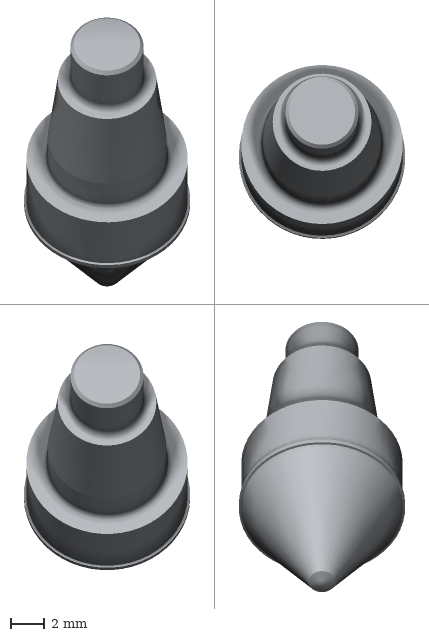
import cadquery as cq
import math

TOTAL_HEIGHT = 23.0
TIP_HEIGHT = 0.3
FLANGE_THICKNESS = 0.3
FLANGE_TOP_Z = 7.8
COLLAR_TOP_Z = 11.8
TAPER_BREAK_Z = 13.92
SHOULDER_Z = 19.5

FLANGE_RADIUS = 10.0 / 2
COLLAR_RADIUS = 9.7 / 2
TIP_RADIUS = 0.8
SHANK_BASE_RADIUS = 3.63
TAPER_BREAK_RADIUS = 3.56
SHOULDER_RADIUS = 2.97
SPIGOT_RADIUS = 4.4 / 2

COLLAR_FILLET = 0.3
SPIGOT_FILLET = 0.48
SPIGOT_CHAMFER = 0.2

ARC_MID = 1 - math.sqrt(0.5)


def quarter_fillet(profile, wall_radius, floor_z, fillet):
    """Continue an inward-running floor up into a wall with a concave quarter arc."""
    return profile.threePointArc(
        (wall_radius + fillet * ARC_MID, floor_z + fillet * ARC_MID),
        (wall_radius, floor_z + fillet),
    )


def make_cutting_head():
    """Conical head with its thin flange and blunt point."""
    return (
        cq.Workplane("XZ")
        .moveTo(0, 0)
        .lineTo(TIP_RADIUS, TIP_HEIGHT)
        .lineTo(COLLAR_RADIUS, FLANGE_TOP_Z - FLANGE_THICKNESS)
        .lineTo(FLANGE_RADIUS, FLANGE_TOP_Z - FLANGE_THICKNESS)
        .lineTo(FLANGE_RADIUS, FLANGE_TOP_Z)
        .lineTo(0, FLANGE_TOP_Z)
        .close()
        .revolve(360, (0, 0, 0), (0, 1, 0))
    )


def make_shank():
    """Collar, two-stage tapered shank and chamfered spigot, standing on the flange."""
    profile = (
        cq.Workplane("XZ")
        .moveTo(0, FLANGE_TOP_Z)
        .lineTo(COLLAR_RADIUS, FLANGE_TOP_Z)
        .lineTo(COLLAR_RADIUS, COLLAR_TOP_Z)
        .lineTo(SHANK_BASE_RADIUS + COLLAR_FILLET, COLLAR_TOP_Z)
    )
    profile = (
        quarter_fillet(profile, SHANK_BASE_RADIUS, COLLAR_TOP_Z, COLLAR_FILLET)
        .lineTo(TAPER_BREAK_RADIUS, TAPER_BREAK_Z)
        .lineTo(SHOULDER_RADIUS, SHOULDER_Z)
        .lineTo(SPIGOT_RADIUS + SPIGOT_FILLET, SHOULDER_Z)
    )
    return (
        quarter_fillet(profile, SPIGOT_RADIUS, SHOULDER_Z, SPIGOT_FILLET)
        .lineTo(SPIGOT_RADIUS, TOTAL_HEIGHT - SPIGOT_CHAMFER)
        .lineTo(SPIGOT_RADIUS - SPIGOT_CHAMFER, TOTAL_HEIGHT)
        .lineTo(0, TOTAL_HEIGHT)
        .close()
        .revolve(360, (0, 0, 0), (0, 1, 0))
    )


cutting_head = make_cutting_head()
shank = make_shank()
result = cq.Compound.makeCompound([cutting_head.val(), shank.val()])